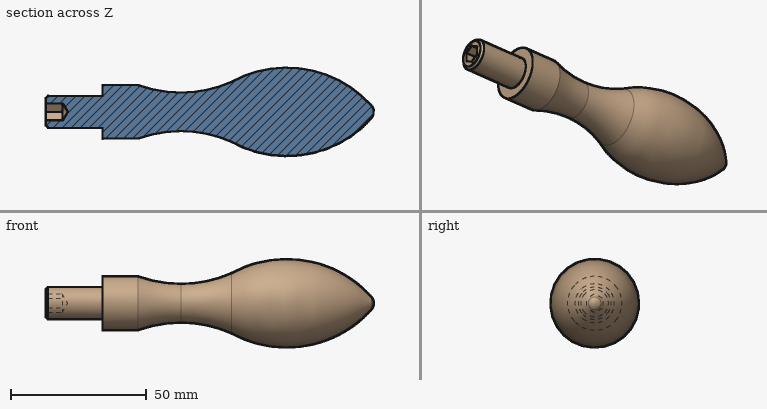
import cadquery as cq
import math

total_length = 121.0
shank_diameter = 12.0
shank_length = 20.9
shank_chamfer = 1.0
collar_diameter = 20.0
collar_end_x = 34.0

waist_x = 50.0
waist_diameter = 14.4
neck_end_x = 68.5
bulb_x = 88.8
bulb_diameter = 32.8
tip_radius = 3.5

socket_across_flats = 6.0
socket_depth = 6.0
drill_point_angle = 118.0

shank_radius = shank_diameter / 2
collar_radius = collar_diameter / 2
waist_radius = waist_diameter / 2
bulb_radius = bulb_diameter / 2

tip_center_x = total_length - tip_radius
tip_offset = tip_center_x - bulb_x
bulb_arc_radius = (tip_offset**2 + bulb_radius**2 - tip_radius**2) / (2 * (bulb_radius - tip_radius))
bulb_center_r = bulb_radius - bulb_arc_radius


def bulb_profile_radius(x):
    """Radius of the bulb at position x along the axis."""
    return bulb_center_r + math.sqrt(bulb_arc_radius**2 - (x - bulb_x) ** 2)


def neck_midpoint(end_x, end_radius):
    """Point halfway along X on the neck arc from the waist to one of its ends."""
    run = end_x - waist_x
    rise = end_radius - waist_radius
    arc_radius = (run**2 + rise**2) / (2 * rise)
    sag = arc_radius - math.sqrt(arc_radius**2 - (run / 2) ** 2)
    return (waist_x + run / 2, waist_radius + sag)


def handle_body():
    neck_end_radius = bulb_profile_radius(neck_end_x)
    center_distance = bulb_arc_radius - tip_radius
    tip_start_x = tip_center_x + tip_radius * tip_offset / center_distance
    tip_start_radius = bulb_profile_radius(tip_start_x)
    tip_mid_angle = math.atan2(tip_start_radius, tip_start_x - tip_center_x) / 2
    tip_mid = (
        tip_center_x + tip_radius * math.cos(tip_mid_angle),
        tip_radius * math.sin(tip_mid_angle),
    )
    return (
        cq.Workplane("XY")
        .lineTo(0, shank_radius - shank_chamfer)
        .lineTo(shank_chamfer, shank_radius)
        .lineTo(shank_length, shank_radius)
        .lineTo(shank_length, collar_radius)
        .lineTo(collar_end_x, collar_radius)
        .threePointArc(neck_midpoint(collar_end_x, collar_radius), (waist_x, waist_radius))
        .threePointArc(neck_midpoint(neck_end_x, neck_end_radius), (neck_end_x, neck_end_radius))
        .threePointArc((bulb_x, bulb_radius), (tip_start_x, tip_start_radius))
        .threePointArc(tip_mid, (total_length, 0))
        .close()
        .revolve(360, (0, 0, 0), (1, 0, 0))
    )


def key_socket():
    """Hexagonal socket with corners along Z and a conical bottom."""
    corner_radius = socket_across_flats / math.sqrt(3)
    cone_depth = corner_radius / math.tan(math.radians(drill_point_angle / 2))
    socket_end = socket_depth + cone_depth
    hexagon = (
        cq.Workplane("YZ")
        .transformed(rotate=(0, 0, 90))
        .polygon(6, 2 * corner_radius)
        .extrude(socket_end)
    )
    pointed_bore = (
        cq.Workplane("XY")
        .lineTo(0, corner_radius)
        .lineTo(socket_depth, corner_radius)
        .lineTo(socket_end, 0)
        .close()
        .revolve(360, (0, 0, 0), (1, 0, 0))
    )
    return hexagon.intersect(pointed_bore)


result = handle_body().cut(key_socket())